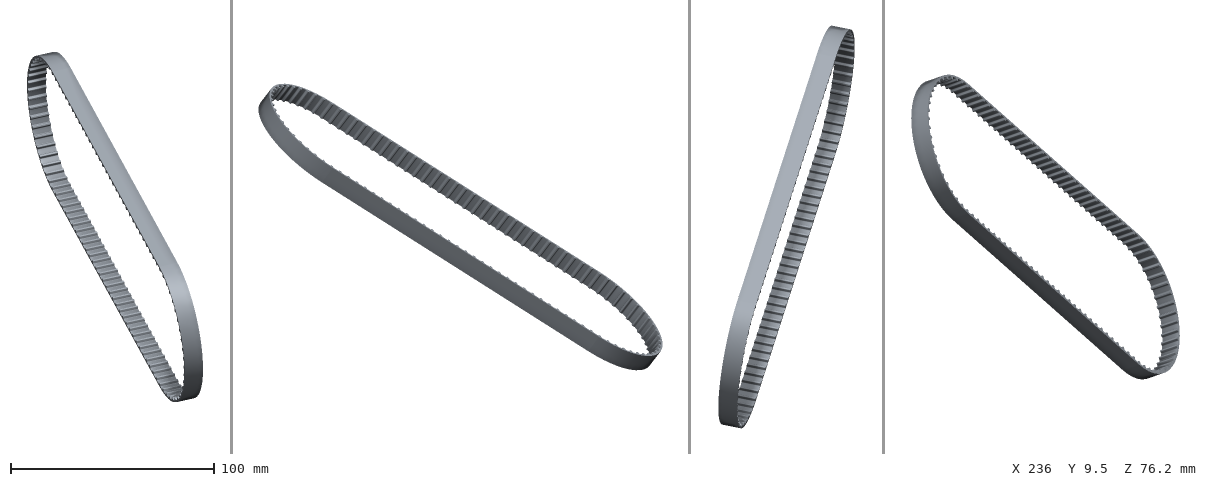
import cadquery as cq
import math

length = 236.0
height = 76.2
width = 9.5
band_thickness = 1.01

tooth_count = 110
tooth_height = 1.3
tooth_root_width = 2.0
tooth_tip_width = 1.0
tip_fillet = 0.35
root_fillet = tip_fillet
root_overlap = 0.2
tolerance = 0.05

straight_length = length - height
inner_radius = height / 2 - band_thickness
half_loop = straight_length + math.pi * inner_radius
pitch = 2 * half_loop / tooth_count


def make_band():
    """Plain belt loop, centred on the origin with its width along Y."""
    outer = cq.Workplane("XZ").slot2D(length, height).extrude(width / 2, both=True)
    opening = cq.Workplane("XZ").slot2D(length - 2 * band_thickness, 2 * inner_radius)
    return outer.cut(opening.extrude(width / 2, both=True)).val()


def make_tooth():
    """Tooth on the top run at X = 0, pointing down into the loop."""
    base_z = inner_radius + root_overlap
    tip_z = inner_radius - tooth_height
    profile = [
        (-tooth_root_width / 2, base_z),
        (-tooth_root_width / 2, inner_radius),
        (-tooth_tip_width / 2, tip_z),
        (tooth_tip_width / 2, tip_z),
        (tooth_root_width / 2, inner_radius),
        (tooth_root_width / 2, base_z),
    ]
    tooth = cq.Workplane("XZ").polyline(profile).close().extrude(width / 2, both=True)
    return tooth.edges("|Y and <Z").fillet(tip_fillet).val()


def place_tooth(tooth, travel):
    """Move a tooth clockwise (seen from -Y) along the inside of the band."""
    half_straight = straight_length / 2
    if travel <= half_straight:
        x = travel
        angle = 0
    elif travel < half_loop - half_straight:
        x = half_straight
        angle = math.degrees((travel - half_straight) / inner_radius)
    else:
        x = half_loop - travel
        angle = 180
    turned = tooth.rotate(cq.Vector(0, 0, 0), cq.Vector(0, 1, 0), angle)
    return turned.translate(cq.Vector(x, 0, 0))


def is_root_edge(edge):
    """True for an edge across the width where a tooth flank meets the band.

    The seams where the straight runs meet the round ends are left out.
    """
    center = edge.Center()
    past_straight = abs(center.x) - straight_length / 2
    from_axis = math.hypot(max(past_straight, 0), center.z)
    at_tangent = abs(past_straight) < tolerance
    return abs(from_axis - inner_radius) < tolerance and not at_tangent


tooth = make_tooth()
teeth = []
for i in range(tooth_count // 2):
    placed = place_tooth(tooth, i * pitch)
    teeth.append(placed)
    teeth.append(placed.rotate(cq.Vector(0, 0, 0), cq.Vector(0, 1, 0), 180))

belt = cq.Workplane(make_band().fuse(*teeth))

root_edges = [edge for edge in belt.edges("|Y").vals() if is_root_edge(edge)]
result = cq.Workplane(belt.val().fillet(root_fillet, root_edges))